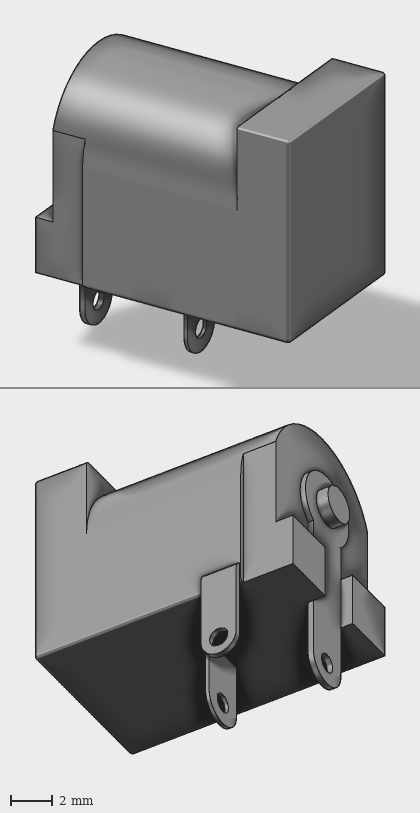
import cadquery as cq

length = 14.63
body_width = 9.0
barrel_radius = body_width / 2
axis_height = 6.5
body_height = axis_height + barrel_radius
rear_width = 8.5
rear_face_x = 0.98
shoulder_x = 2.83
collar_x = 11.63
edge_break = 0.2
foot_height = 3.0

tail_drop = 4.3
tail_hole_diameter = 1.03
centre_tail_width = 2.54
centre_tail_thickness = 0.3
washer_diameter = 4.0
rivet_diameter = 2.0
inner_tail_x = 6.62
inner_tail_thickness = 0.2
side_tail_x = 2.89
side_tail_width = 2.0
side_tail_thickness = 0.3
side_tail_outer_y = 4.82
side_bend_radius = 0.6
side_bend_height = 0.55
embed_depth = 0.61


def block(x_start, x_end, width, height):
    """Box centred on Y = 0 and standing on Z = 0."""
    return cq.Workplane("XY").box(
        x_end - x_start, width, height, centered=(False, True, False)
    ).translate((x_start, 0, 0))


def disc(x_start, x_end, diameter):
    """Cylinder on the barrel axis."""
    return (
        cq.Workplane("YZ", origin=(x_start, 0, axis_height))
        .circle(diameter / 2)
        .extrude(x_end - x_start)
    )


def tail(plane, width, thickness, top):
    """Flat tail with a round, pierced end, extruded along the plane's normal."""
    radius = width / 2
    end_centre = radius - tail_drop
    return (
        cq.Workplane(plane)
        .moveTo(-radius, top)
        .lineTo(-radius, end_centre)
        .threePointArc((0, -tail_drop), (radius, end_centre))
        .lineTo(radius, top)
        .close()
        .extrude(thickness)
        .cut(
            cq.Workplane(plane)
            .center(0, end_centre)
            .circle(tail_hole_diameter / 2)
            .extrude(thickness)
        )
    )


def housing():
    full_block = (
        block(shoulder_x, length, body_width, body_height)
        .edges("|X or >X")
        .fillet(edge_break)
    )
    barrel_zone = block(0, collar_x, body_width, axis_height).union(
        disc(0, collar_x, 2 * barrel_radius)
    )
    collar_zone = block(collar_x, length, body_width, body_height)
    main = full_block.intersect(barrel_zone.union(collar_zone))
    rear = block(rear_face_x, shoulder_x, rear_width, body_height).intersect(barrel_zone)
    feet = block(0, rear_face_x, rear_width, foot_height).cut(
        block(0, rear_face_x, centre_tail_width, foot_height)
    )
    return main.union(rear).union(feet)


def centre_terminal():
    strip_x = rear_face_x - centre_tail_thickness
    strip = tail("YZ", centre_tail_width, centre_tail_thickness, axis_height)
    return (
        strip.translate((strip_x, 0, 0))
        .union(disc(strip_x, rear_face_x, washer_diameter))
        .union(disc(0, rear_face_x, rivet_diameter))
    )


def inner_terminal():
    strip = tail("YZ", centre_tail_width, inner_tail_thickness, embed_depth)
    return strip.translate((inner_tail_x, 0, 0))


def side_terminal():
    middle_x = side_tail_x + side_tail_width / 2
    strip = tail("XZ", side_tail_width, side_tail_thickness, side_bend_height)
    strip = strip.translate((middle_x, side_tail_outer_y, 0))
    inner_radius = side_bend_radius - side_tail_thickness
    bend_y = side_tail_outer_y - side_bend_radius
    bend = (
        cq.Workplane("YZ", origin=(side_tail_x, bend_y, side_bend_height))
        .circle(side_bend_radius)
        .circle(inner_radius)
        .extrude(side_tail_width)
        .intersect(
            cq.Workplane("XY")
            .box(side_tail_width, side_bend_radius, side_bend_radius, centered=False)
            .translate((side_tail_x, bend_y, side_bend_height))
        )
    )
    return strip.union(bend)


result = housing().union(centre_terminal()).union(inner_terminal()).union(side_terminal())